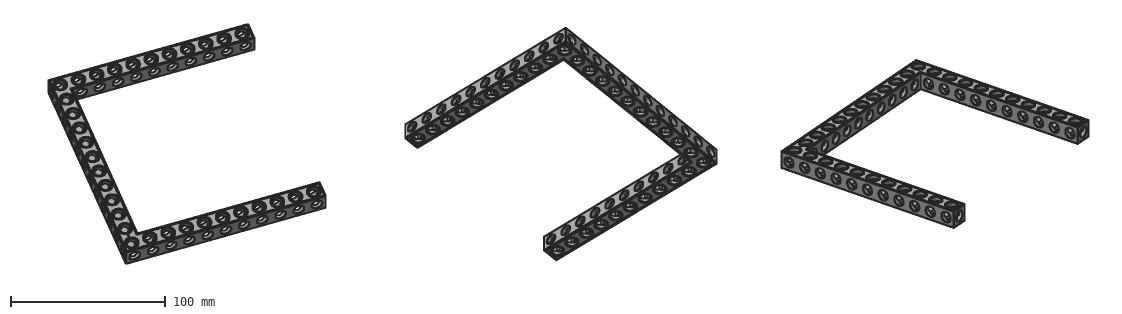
import cadquery as cq

columns = 12
rows = 11
overall_width = 150
pitch = overall_width / columns
overall_depth = rows * pitch
bar = pitch

hole_diameter = 7.0
edge_chamfer = 0.3
rim_width = 1.1
collar_diameter = 9.2
recess_depth = 0.3
rib_width = 0.5


def u_prism(inset, bottom, height):
    """U-shaped prism open towards +Y, with its outline moved inwards by inset."""
    points = [
        (inset, inset),
        (overall_width - inset, inset),
        (overall_width - inset, overall_depth - inset),
        (overall_width - bar + inset, overall_depth - inset),
        (overall_width - bar + inset, bar - inset),
        (bar - inset, bar - inset),
        (bar - inset, overall_depth - inset),
        (inset, overall_depth - inset),
    ]
    return cq.Workplane("XY").workplane(offset=bottom).polyline(points).close().extrude(height)


def cell_centre(index):
    """Centre of a grid cell along either axis."""
    return (index + 0.5) * pitch


def hole_cutter(length):
    """Cutter along +Z from the origin for a through hole with chamfered mouths."""
    hole_radius = hole_diameter / 2
    mouth_radius = hole_radius + edge_chamfer
    profile = [
        (0, 0),
        (mouth_radius, 0),
        (hole_radius, edge_chamfer),
        (hole_radius, length - edge_chamfer),
        (mouth_radius, length),
        (0, length),
    ]
    return cq.Workplane("XZ").polyline(profile).close().revolve(360, (0, 0, 0), (0, 1, 0))


base_cells = [(column, 0) for column in range(columns)]
arm_cells = [(column, row) for column in (0, columns - 1) for row in range(1, rows)]
cell_points = [(cell_centre(column), cell_centre(row)) for column, row in base_cells + arm_cells]

inner_corners = cq.selectors.BoxSelector(
    (bar / 2, bar / 2, bar / 4),
    (overall_width - bar / 2, 3 * bar / 2, 3 * bar / 4),
)
result = u_prism(0, 0, bar)
result = result.edges(cq.selectors.InverseSelector(inner_corners)).chamfer(edge_chamfer)

for recess_floor in (0, bar - recess_depth):
    collars = (
        cq.Workplane("XY")
        .workplane(offset=recess_floor)
        .pushPoints(cell_points)
        .circle(collar_diameter / 2)
        .extrude(recess_depth)
    )
    result = result.cut(u_prism(rim_width, recess_floor, recess_depth).cut(collars))

rib = (
    cq.Workplane("XY")
    .box(pitch, rib_width, recess_depth, centered=(False, True, False))
    .translate((cell_centre(columns - 2), cell_centre(0), bar - recess_depth))
)
result = result.union(rib)

for x, y in cell_points:
    result = result.cut(hole_cutter(bar).translate((x, y, 0)))

for column in range(columns):
    length = overall_depth if column in (0, columns - 1) else bar
    cutter = hole_cutter(length).rotate((0, 0, 0), (1, 0, 0), -90)
    result = result.cut(cutter.translate((cell_centre(column), 0, bar / 2)))

for row in range(rows):
    starts = [0] if row == 0 else [0, overall_width - bar]
    length = overall_width if row == 0 else bar
    for start in starts:
        cutter = hole_cutter(length).rotate((0, 0, 0), (0, 1, 0), 90)
        result = result.cut(cutter.translate((start, cell_centre(row), bar / 2)))